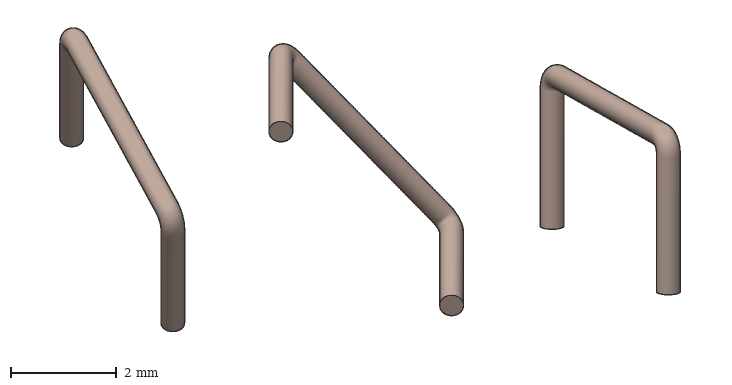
import cadquery as cq
import math

overall_length = 5.45
overall_height = 3.23
wire_diameter = 0.45
bend_radius = 0.295

wire_radius = wire_diameter / 2
leg_x = overall_length / 2 - wire_radius
bar_z = overall_height - wire_radius
bend_center_x = leg_x - bend_radius
bend_center_z = bar_z - bend_radius
bend_mid_offset = bend_radius * math.sqrt(0.5)
bend_mid_x = bend_center_x + bend_mid_offset
bend_mid_z = bend_center_z + bend_mid_offset

centreline = (
    cq.Workplane("XZ")
    .moveTo(-leg_x, 0)
    .lineTo(-leg_x, bend_center_z)
    .threePointArc((-bend_mid_x, bend_mid_z), (-bend_center_x, bar_z))
    .lineTo(bend_center_x, bar_z)
    .threePointArc((bend_mid_x, bend_mid_z), (leg_x, bend_center_z))
    .lineTo(leg_x, 0)
)

result = cq.Workplane("XY").center(-leg_x, 0).circle(wire_radius).sweep(centreline)